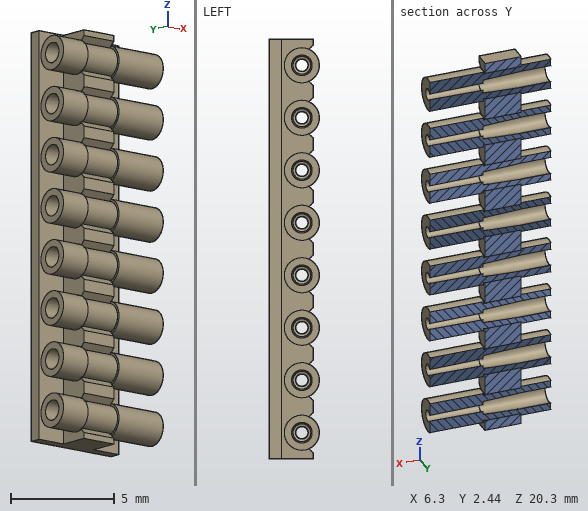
import cadquery as cq

contact_count = 8
pitch = 2.54
strip_height = contact_count * pitch

contact_length = 6.3
contact_radius = 0.85
neck_radius = 0.74
neck_start = 1.55
neck_end = 3.5

bore_mouth_radius = 0.5
bore_taper_end_radius = 0.43
bore_shoulder_length = 0.04
small_hole_start_radius = 0.31
small_hole_end_radius = 0.29
bore_taper_start = neck_start
bore_taper_end = neck_end

housing_depth = 2.14
plate_length = 5.04
plate_thickness = 0.6
rib_start = neck_start
rib_end = 3.43
overall_depth = 2.44

plate_back = overall_depth - contact_radius
plate_front = plate_back - plate_thickness
rib_front = plate_back - housing_depth

lead_in_half_width = 0.98
lead_in_depth = 0.29
lead_in_inner_half_width = lead_in_half_width - lead_in_depth

contact_heights = [(i - (contact_count - 1) / 2) * pitch for i in range(contact_count)]


def make_lead_in(height):
    """Flared opening from the rib front to the neck hole, closed to a point on the contact axis."""
    lead_in_back = rib_front + lead_in_depth
    return (
        cq.Workplane("YZ", origin=(rib_start, 0, height))
        .moveTo(rib_front, -lead_in_half_width)
        .lineTo(lead_in_back, -lead_in_inner_half_width)
        .lineTo(0, 0)
        .lineTo(lead_in_back, lead_in_inner_half_width)
        .lineTo(rib_front, lead_in_half_width)
        .close()
        .extrude(rib_end - rib_start)
    )


def make_neck_hole(height):
    """Round hole through the rib that fits the neck of one contact."""
    return (
        cq.Workplane("YZ", origin=(rib_start, 0, height))
        .circle(neck_radius)
        .extrude(rib_end - rib_start)
    )


def make_housing():
    """T-shaped strip with one open snap-in hole for each contact."""
    body = (
        cq.Workplane("XY", origin=(0, 0, -strip_height / 2))
        .moveTo(0, plate_back)
        .lineTo(plate_length, plate_back)
        .lineTo(plate_length, plate_front)
        .lineTo(rib_end, plate_front)
        .lineTo(rib_end, rib_front)
        .lineTo(rib_start, rib_front)
        .lineTo(rib_start, plate_front)
        .lineTo(0, plate_front)
        .close()
        .extrude(strip_height)
    )
    for height in contact_heights:
        body = body.cut(make_neck_hole(height)).cut(make_lead_in(height))
    return body.solids()


def make_contact(height):
    """Turned contact: its half section is revolved about its own X axis."""
    shoulder_end = bore_taper_end + bore_shoulder_length
    return (
        cq.Workplane("XY", origin=(0, 0, height))
        .moveTo(0, -bore_mouth_radius)
        .lineTo(0, -contact_radius)
        .lineTo(neck_start, -contact_radius)
        .lineTo(neck_start, -neck_radius)
        .lineTo(neck_end, -neck_radius)
        .lineTo(neck_end, -contact_radius)
        .lineTo(contact_length, -contact_radius)
        .lineTo(contact_length, -small_hole_end_radius)
        .lineTo(shoulder_end, -small_hole_start_radius)
        .lineTo(bore_taper_end, -bore_taper_end_radius)
        .lineTo(bore_taper_start, -bore_mouth_radius)
        .close()
        .revolve(360, (0, 0, 0), (1, 0, 0))
    )


housing = make_housing()
contacts = [make_contact(height) for height in contact_heights]

result = cq.Compound.makeCompound([housing.val(), *[contact.val() for contact in contacts]])